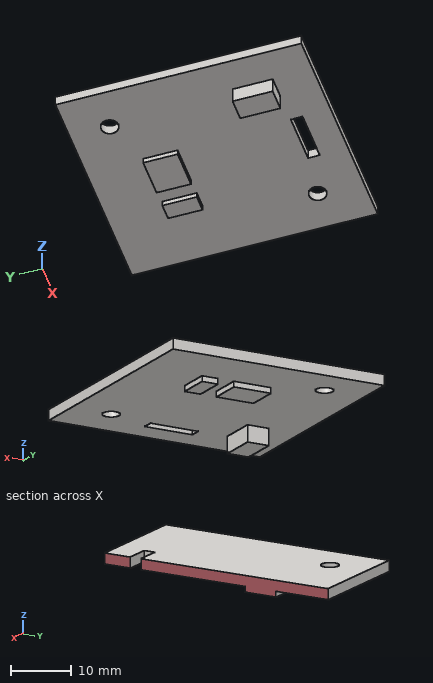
import cadquery as cq

plate_width = 40.0
plate_length = 43.0
plate_thickness = 1.98

hole_diameter = 3.0
hole_centers = [
    (7.52, plate_length - 7.0),
    (32.5, 8.0),
]
slot_left = 15.52
slot_front = 5.0
slot_width = 9.0
slot_length = 2.0

block_left = 6.0
block_front = 7.0
block_width = 4.0
block_length = 7.0
block_height = 3.0

pad_length = 6.0
pad_height = 1.0
pad_front = plate_length - 10.0 - pad_length
wide_pad_left = 16.0
wide_pad_width = 7.0
narrow_pad_left = 26.0
narrow_pad_width = 3.0


def box_from_corner(left, front, bottom, width, length, height):
    """Box spanning from its lowest X, Y and Z corner."""
    return cq.Workplane("XY").box(width, length, height, centered=False).translate((left, front, bottom))


def hanging_box(left, front, width, length, height):
    """Box that hangs from the underside of the plate."""
    return box_from_corner(left, front, -height, width, length, height)


result = box_from_corner(0, 0, 0, plate_width, plate_length, plate_thickness)
result = result.union(hanging_box(block_left, block_front, block_width, block_length, block_height))
for left, width in [(wide_pad_left, wide_pad_width), (narrow_pad_left, narrow_pad_width)]:
    result = result.union(hanging_box(left, pad_front, width, pad_length, pad_height))

holes = (
    cq.Workplane("XY")
    .pushPoints(hole_centers)
    .circle(hole_diameter / 2)
    .extrude(plate_thickness)
)
slot = box_from_corner(slot_left, slot_front, 0, slot_width, slot_length, plate_thickness)
result = result.cut(holes).cut(slot)